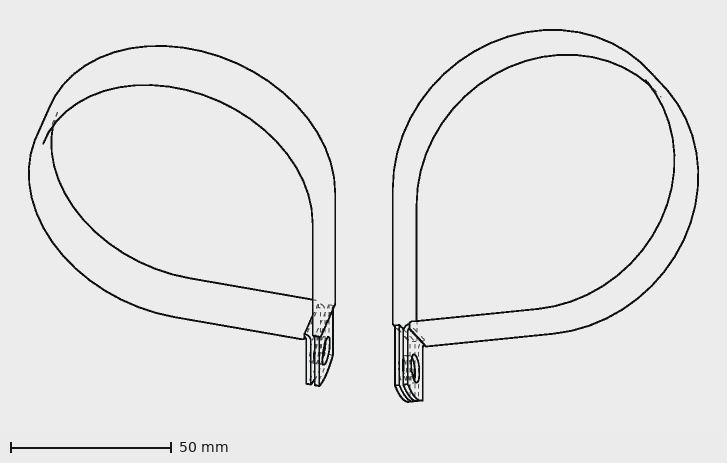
import cadquery as cq
import math

outer_radius = 47.3
cushion_wall = 0.7
strap_thickness = 1.5
strap_width = 16.0
tab_tip = -66.6
tab_gap = 1.3
cushion_vertical_end = -45.1
cushion_horizontal_end = 41.8
bend_inner_radius = 0.8
tip_rise = 1.7
hole_diameter = 8.8
hole_to_tip = 9.6

cushion_width = strap_width + 2 * cushion_wall
cushion_inner_radius = outer_radius - 2 * cushion_wall - strap_thickness
strap_outer_radius = outer_radius - cushion_wall
strap_inner_radius = strap_outer_radius - strap_thickness
near_tab_outer = strap_inner_radius - tab_gap
near_tab_inner = near_tab_outer - strap_thickness
bend_start = near_tab_inner - bend_inner_radius
bend_outer_radius = bend_inner_radius + strap_thickness
tip_shoulder = tab_tip + tip_rise
hole_height = tab_tip + hole_to_tip
diagonal = math.cos(math.radians(45))


def loop(outside, inside, vertical_end, horizontal_end, width):
    """Three-quarter ring with tangent legs: one down from +X, one along +X from the bottom."""
    profile = (
        cq.Workplane("XZ")
        .moveTo(outside, vertical_end)
        .lineTo(outside, 0)
        .threePointArc((0, outside), (-outside, 0))
        .threePointArc((-outside * diagonal, -outside * diagonal), (0, -outside))
        .lineTo(horizontal_end, -outside)
        .lineTo(horizontal_end, -inside)
        .lineTo(0, -inside)
        .threePointArc((-inside * diagonal, -inside * diagonal), (-inside, 0))
        .threePointArc((0, inside), (inside, 0))
        .lineTo(inside, vertical_end)
        .close()
    )
    return profile.extrude(width / 2, both=True)


def bent_tab():
    """Quarter bend from the horizontal leg into the near tab."""
    bend_center_z = -strap_outer_radius - bend_inner_radius
    profile = (
        cq.Workplane("XZ")
        .moveTo(bend_start, -strap_outer_radius)
        .threePointArc(
            (bend_start + bend_inner_radius * diagonal, bend_center_z + bend_inner_radius * diagonal),
            (near_tab_inner, bend_center_z),
        )
        .lineTo(near_tab_inner, tab_tip)
        .lineTo(near_tab_outer, tab_tip)
        .lineTo(near_tab_outer, bend_center_z)
        .threePointArc(
            (bend_start + bend_outer_radius * diagonal, bend_center_z + bend_outer_radius * diagonal),
            (bend_start, -strap_inner_radius),
        )
        .close()
    )
    return profile.extrude(strap_width / 2, both=True)


def tab_outline():
    """Strap silhouette along X, with the arched tab tips and the screw hole."""
    half_width = strap_width / 2
    return (
        cq.Workplane("YZ")
        .moveTo(-half_width, outer_radius)
        .lineTo(-half_width, tip_shoulder)
        .threePointArc((0, tab_tip), (half_width, tip_shoulder))
        .lineTo(half_width, outer_radius)
        .close()
        .moveTo(0, hole_height)
        .circle(hole_diameter / 2)
        .extrude(outer_radius, both=True)
    )


cushion = loop(
    outer_radius, cushion_inner_radius, cushion_vertical_end, cushion_horizontal_end, cushion_width
).edges().fillet(cushion_wall)

strap = loop(strap_outer_radius, strap_inner_radius, tab_tip, bend_start, strap_width)
strap = strap.union(bent_tab()).intersect(tab_outline())

result = cushion.union(strap)